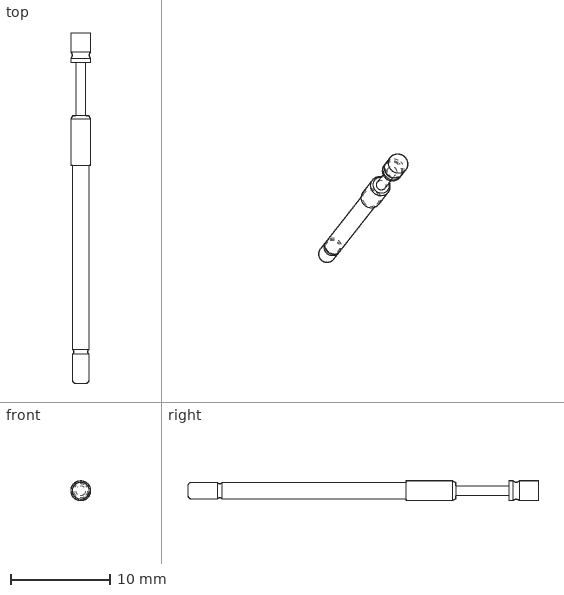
import cadquery as cq

total_length = 35.3
tip_y = -total_length / 2
head_end_y = total_length / 2

head_radius = 1.005
sleeve_radius = 1.005
barrel_radius = 0.85
stem_radius = 0.5

head_length = 3.0
stem_length = 5.33
sleeve_length = 5.0

tip_fillet = 0.4
sleeve_chamfer_length = 0.35
sleeve_chamfer_depth = 0.18

groove_depth = 0.15
head_groove_width = 0.65
head_groove_offset = 2.25
barrel_groove_width = 0.5
barrel_groove_offset = 3.2

head_base_y = head_end_y - head_length
sleeve_top_y = head_base_y - stem_length
sleeve_base_y = sleeve_top_y - sleeve_length


def rod(radius, start_y, end_y):
    """Solid cylinder on the Y axis between two stations."""
    return cq.Workplane("XZ", origin=(0, start_y, 0)).circle(radius).extrude(start_y - end_y)


def arc_groove(surface_radius, centre_y, width):
    """Ring that cuts a circular-arc groove into a rod."""
    half_width = width / 2
    outer_radius = surface_radius + groove_depth
    profile = (
        cq.Workplane("XY")
        .moveTo(surface_radius, centre_y - half_width)
        .threePointArc(
            (surface_radius - groove_depth, centre_y),
            (surface_radius, centre_y + half_width),
        )
        .lineTo(outer_radius, centre_y + half_width)
        .lineTo(outer_radius, centre_y - half_width)
        .close()
    )
    return profile.revolve(360, (0, 0, 0), (0, 1, 0))


barrel = rod(barrel_radius, tip_y, sleeve_base_y).faces("<Y").edges().fillet(tip_fillet)
barrel = barrel.cut(arc_groove(barrel_radius, tip_y + barrel_groove_offset, barrel_groove_width))

sleeve = rod(sleeve_radius, sleeve_base_y, sleeve_top_y)
sleeve = sleeve.faces(">Y").edges().chamfer(sleeve_chamfer_length, sleeve_chamfer_depth)

stem = rod(stem_radius, sleeve_top_y, head_base_y)
head = rod(head_radius, head_base_y, head_end_y)
head = head.cut(arc_groove(head_radius, head_end_y - head_groove_offset, head_groove_width))

result = barrel.union(sleeve).union(stem).union(head)